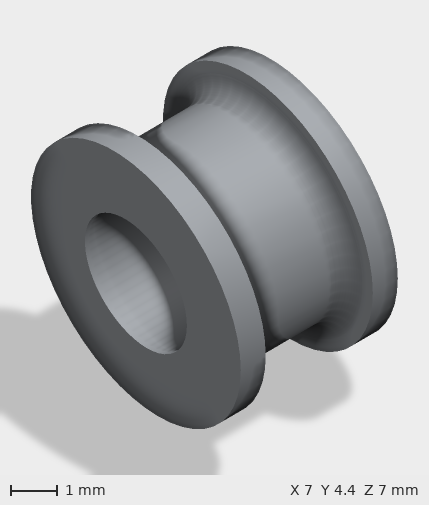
import cadquery as cq

flange_diameter = 7.0
hub_diameter = 5.4
bore_diameter = 3.4
total_width = 4.4
flange_width = 0.7
root_fillet_radius = 0.5

groove_width = total_width - 2 * flange_width


def cylinder_along_y(diameter, width):
    """Solid cylinder on the Y axis, centred on the origin."""
    start_plane = cq.Workplane("XZ", origin=(0, width / 2, 0))
    return start_plane.circle(diameter / 2).extrude(width)


def groove_ring():
    """Material removed between the flanges, with rounded corners at the hub."""
    outer = cylinder_along_y(flange_diameter, groove_width)
    hub = cylinder_along_y(hub_diameter, groove_width)
    ring = outer.cut(hub)
    hub_corners = cq.selectors.RadiusNthSelector(0)
    return ring.edges("%CIRCLE").edges(hub_corners).fillet(root_fillet_radius)


spool = cylinder_along_y(flange_diameter, total_width).cut(groove_ring())
result = spool.cut(cylinder_along_y(bore_diameter, total_width))